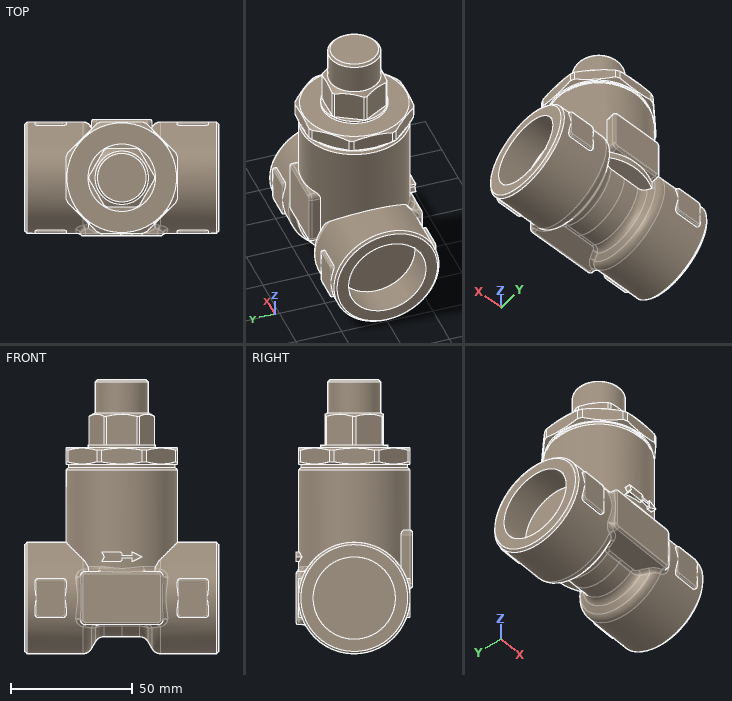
import cadquery as cq
import math

BODY_DIA = 46.0
BODY_RADIUS = BODY_DIA / 2
EDGE_CHAMFER = 1.0

PIPE_LENGTH = 80.0
SOCKET_DIA = 33.9
SOCKET_DEPTH = 13.5
NECK_RADIUS = 16.0
SHOULDER_X = 16.0
SHOULDER_ANGLE = 60.0
SHOULDER_BLEND = 4.0

BARREL_BOTTOM_Z = 0.0
BARREL_TOP_Z = 53.8
GROOVE_DIA = 44.0

OCTAGON_BOTTOM_Z = 55.0
OCTAGON_TOP_Z = 62.0
OCTAGON_FLATS = BODY_DIA
OCTAGON_TURNED_DIA = 49.0
OCTAGON_FACE_DIA = 45.2

COLLAR_DIA = 27.8
HEX_BOTTOM_Z = 63.0
HEX_FLATS = 24.0
HEX_TURNED_DIA = 27.0
HEX_TOP_Z = 76.3
STEM_DIA = 22.0
STEM_TOP_Z = 90.0
NUT_CHAMFER_ANGLE = 30.0

PANEL_REACH = 24.0
PANEL_CORNER = 2.0
PANEL_EDGE = 1.0
FRONT_PANEL_WIDTH = 34.0
FRONT_PANEL_HEIGHT = 22.0
FRONT_PANEL_BLEND = 2.0
REAR_PANEL_WIDTH = 25.0
REAR_PANEL_BOTTOM_Z = 4.0
REAR_PANEL_TOP_Z = 28.0

PAD_LENGTH = 13.0
PAD_HEIGHT = 16.2
PAD_CENTER_X = 29.3
PAD_CORNER = 1.6
PAD_EDGE = 0.6
PAD_ROOT_Y = 19.0

ARROW_Z = 17.0
ARROW_TAIL_X = -8.2
ARROW_NOTCH_X = -7.2
ARROW_SHAFT_START_X = 0.0
ARROW_HEAD_START_X = 4.3
ARROW_TIP_X = 8.3
ARROW_HALF_HEIGHT = 2.0
ARROW_TAIL_BEVEL = 0.6
ARROW_SHAFT_HALF_HEIGHT = 0.6
ARROW_ROOT_Y = 21.0

SEAM_TOLERANCE = 1e-3


def cylinder(diameter, bottom_z, top_z):
    """Upright cylinder on the barrel axis."""
    return cq.Workplane("XY").workplane(offset=bottom_z).circle(diameter / 2).extrude(top_z - bottom_z)


def make_pipe():
    """Revolved pipe with a blind socket in each end."""
    slope = math.radians(SHOULDER_ANGLE)
    half_slope = slope / 2
    end_x = PIPE_LENGTH / 2
    blend_run = SHOULDER_BLEND * math.sin(slope)
    blend_drop = SHOULDER_BLEND * (1 - math.cos(slope))
    mid_run = SHOULDER_BLEND * math.sin(half_slope)
    mid_drop = SHOULDER_BLEND * (1 - math.cos(half_slope))
    cone_drop = BODY_RADIUS - NECK_RADIUS - 2 * blend_drop
    cone_run = cone_drop / math.tan(slope)
    cone_start_x = SHOULDER_X - blend_run
    cone_end_x = cone_start_x - cone_run
    neck_x = cone_end_x - blend_run
    half = (
        cq.Workplane("XY")
        .moveTo(0, 0)
        .lineTo(0, NECK_RADIUS)
        .lineTo(neck_x, NECK_RADIUS)
        .threePointArc(
            (neck_x + mid_run, NECK_RADIUS + mid_drop),
            (cone_end_x, NECK_RADIUS + blend_drop),
        )
        .lineTo(cone_start_x, BODY_RADIUS - blend_drop)
        .threePointArc(
            (SHOULDER_X - mid_run, BODY_RADIUS - mid_drop),
            (SHOULDER_X, BODY_RADIUS),
        )
        .lineTo(end_x - EDGE_CHAMFER, BODY_RADIUS)
        .lineTo(end_x, BODY_RADIUS - EDGE_CHAMFER)
        .lineTo(end_x, SOCKET_DIA / 2)
        .lineTo(end_x - SOCKET_DEPTH, SOCKET_DIA / 2)
        .lineTo(end_x - SOCKET_DEPTH, 0)
        .close()
        .revolve(360, (0, 0, 0), (1, 0, 0))
    )
    return half.union(half.mirror("YZ"))


def make_barrel():
    """Upright barrel with a chamfered rim and the groove above it."""
    barrel = cylinder(BODY_DIA, BARREL_BOTTOM_Z, BARREL_TOP_Z).faces(">Z").chamfer(EDGE_CHAMFER)
    return barrel.union(cylinder(GROOVE_DIA, BARREL_TOP_Z, OCTAGON_BOTTOM_Z))


def make_nut(sides, flats, bottom_z, top_z):
    """Regular prism with a flat facing the -Y direction."""
    turn = 90 - 180 / sides
    across_corners = flats / math.cos(math.pi / sides)
    return (
        cq.Workplane("XY")
        .workplane(offset=bottom_z)
        .polygon(sides, across_corners)
        .extrude(top_z - bottom_z)
        .rotate((0, 0, 0), (0, 0, 1), turn)
    )


def trim_nut(nut, turned_dia, face_dia, bottom_z, top_z, chamfer_bottom):
    """Turn the corners of a nut round and cut its conical end chamfers."""
    turned_radius = turned_dia / 2
    face_radius = face_dia / 2
    drop = (turned_radius - face_radius) * math.tan(math.radians(NUT_CHAMFER_ANGLE))
    blank = cq.Workplane("XZ").moveTo(0, bottom_z)
    if chamfer_bottom:
        blank = blank.lineTo(face_radius, bottom_z).lineTo(turned_radius, bottom_z + drop)
    else:
        blank = blank.lineTo(turned_radius, bottom_z)
    blank = (
        blank.lineTo(turned_radius, top_z - drop)
        .lineTo(face_radius, top_z)
        .lineTo(0, top_z)
        .close()
        .revolve(360, (0, 0, 0), (0, 1, 0))
    )
    return nut.intersect(blank)


def make_cap():
    """Octagonal cap nut, collar, hexagon and stem."""
    octagon = make_nut(8, OCTAGON_FLATS, OCTAGON_BOTTOM_Z, OCTAGON_TOP_Z)
    octagon = trim_nut(
        octagon, OCTAGON_TURNED_DIA, OCTAGON_FACE_DIA, OCTAGON_BOTTOM_Z, OCTAGON_TOP_Z, True
    )
    collar = cylinder(COLLAR_DIA, OCTAGON_TOP_Z, HEX_BOTTOM_Z)
    hexagon = make_nut(6, HEX_FLATS, HEX_BOTTOM_Z, HEX_TOP_Z)
    hexagon = trim_nut(hexagon, HEX_TURNED_DIA, STEM_DIA, HEX_BOTTOM_Z, HEX_TOP_Z, False)
    stem = cylinder(STEM_DIA, HEX_TOP_Z, STEM_TOP_Z).faces(">Z").chamfer(EDGE_CHAMFER)
    return octagon.union(collar).union(hexagon).union(stem)


def rounded_block(width, height, reach, corner, edge):
    """Block from the XZ plane to y = -reach, with rounded corners and a rounded face edge."""
    block = cq.Workplane("XZ").rect(width, height).extrude(reach)
    return block.edges("|Y").fillet(corner).faces("<Y").edges().fillet(edge)


def seam_edges(joined, first, second):
    """Edges of the joined solid that lie on the outer surfaces of both of its parts."""
    shells = [part.val().Shells()[0] for part in (first, second)]
    seam = []
    for edge in joined.edges().vals():
        middle = cq.Vertex.makeVertex(*edge.positionAt(0.5).toTuple())
        if all(shell.distance(middle) < SEAM_TOLERANCE for shell in shells):
            seam.append(edge)
    return seam


def add_front_panel(body):
    """Panel on the -Y side, blended into the body all around."""
    panel = rounded_block(FRONT_PANEL_WIDTH, FRONT_PANEL_HEIGHT, PANEL_REACH, PANEL_CORNER, PANEL_EDGE)
    joined = body.union(panel)
    return joined.newObject(seam_edges(joined, body, panel)).fillet(FRONT_PANEL_BLEND)


def add_rear_panel(body):
    """Panel on the +Y side of the barrel."""
    height = REAR_PANEL_TOP_Z - REAR_PANEL_BOTTOM_Z
    middle_z = (REAR_PANEL_TOP_Z + REAR_PANEL_BOTTOM_Z) / 2
    panel = rounded_block(REAR_PANEL_WIDTH, height, PANEL_REACH, PANEL_CORNER, PANEL_EDGE)
    return body.union(panel.mirror("XZ").translate((0, 0, middle_z)))


def add_pads(body):
    """Flat pads level with the widest point of the pipe, on both sides of both ends."""
    outer = rounded_block(PAD_LENGTH, PAD_HEIGHT, BODY_RADIUS, PAD_CORNER, PAD_EDGE)
    pad = outer.cut(cq.Workplane("XZ").rect(PAD_LENGTH, PAD_HEIGHT).extrude(PAD_ROOT_Y))
    for x in (-PAD_CENTER_X, PAD_CENTER_X):
        front_pad = pad.translate((x, 0, 0))
        body = body.union(front_pad).union(front_pad.mirror("XZ"))
    return body


def add_arrow(body):
    """Raised flow arrow on the -Y side of the barrel, level with the panel face."""
    upper = [
        (ARROW_TAIL_X, ARROW_HALF_HEIGHT),
        (ARROW_SHAFT_START_X - ARROW_TAIL_BEVEL, ARROW_HALF_HEIGHT),
        (ARROW_SHAFT_START_X, ARROW_HALF_HEIGHT - ARROW_TAIL_BEVEL),
        (ARROW_SHAFT_START_X, ARROW_SHAFT_HALF_HEIGHT),
        (ARROW_HEAD_START_X, ARROW_SHAFT_HALF_HEIGHT),
        (ARROW_HEAD_START_X, ARROW_HALF_HEIGHT),
    ]
    lower = [(x, -height) for x, height in reversed(upper)]
    arrow = (
        cq.Workplane("XZ", origin=(0, -ARROW_ROOT_Y, ARROW_Z))
        .polyline([(ARROW_NOTCH_X, 0), *upper, (ARROW_TIP_X, 0), *lower])
        .close()
        .extrude(PANEL_REACH - ARROW_ROOT_Y)
    )
    return body.union(arrow)


body = make_pipe().union(make_barrel())
body = add_front_panel(body)
body = add_rear_panel(body)
body = add_pads(body)
body = add_arrow(body)
result = body.union(make_cap())